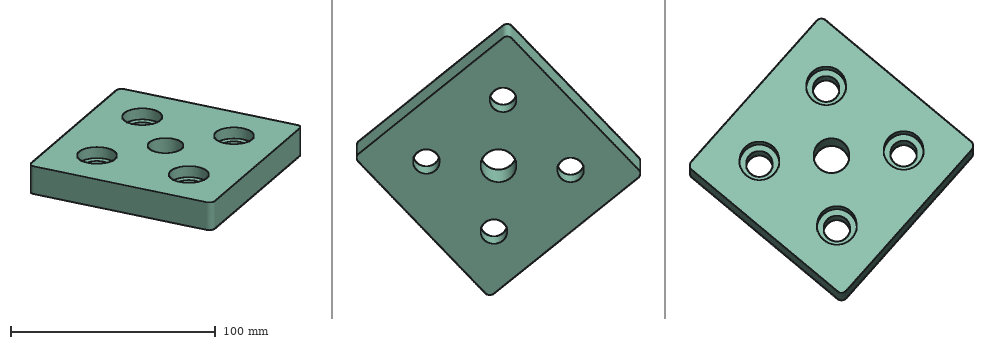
import cadquery as cq

side = 100.0
thickness = 15.0
corner_radius = 3.0

center_hole_diameter = 17.5
bolt_spacing = side / 2
bolt_hole_diameter = 13.0
counterbore_diameter = 19.5
counterbore_depth = 6.0

plate = (
    cq.Workplane("XY")
    .box(side, side, thickness, centered=(True, True, False))
    .edges("|Z")
    .fillet(corner_radius)
)

plate = plate.faces(">Z").workplane().hole(center_hole_diameter)

result = (
    plate.faces(">Z")
    .workplane()
    .rarray(bolt_spacing, bolt_spacing, 2, 2)
    .cboreHole(bolt_hole_diameter, counterbore_diameter, counterbore_depth)
)